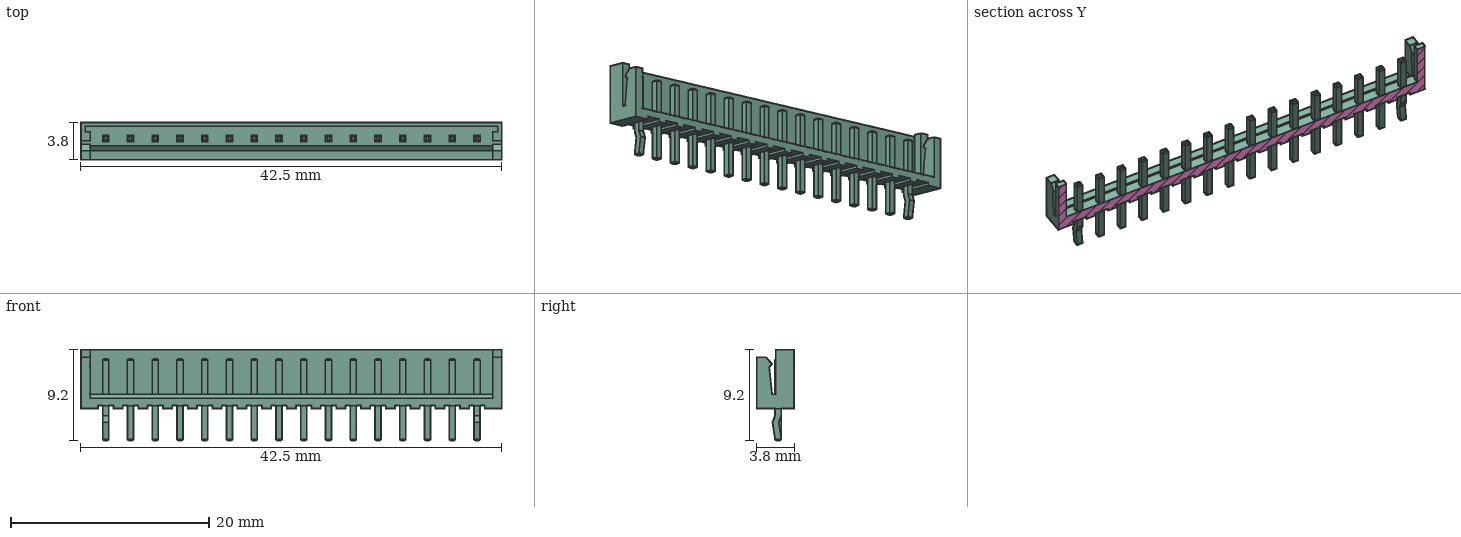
import cadquery as cq

length = 42.5
depth = 3.8
height = 5.95
end_wall = 0.95
back_wall = 0.4
grooved_wall = 0.42
floor_height = 1.45

ledge_height = 1.0
ledge_depth = 0.9
ramp_end = 1.45

groove_width = 0.55

column_depth = 1.85
arm_height = 5.2
arm_top_depth = 0.95
hook_depth = 1.57
hook_height = 4.5
hook_underside = 4.2
arm_neck_depth = 1.28
arm_root_depth = 1.57

pin_count = 16
pitch = length / (pin_count + 1)
pin_width = 0.65
pin_y = 2.15
pin_top = 5.0
pin_bottom = -3.25
tip_height = 0.13
tip_inset = 0.15
pin_positions = [(i - (pin_count - 1) / 2) * pitch for i in range(pin_count)]

kink_start = -0.72
kink_peak = -1.4
kink_offset = 0.25

notch_width = 1.55
notch_height = 0.3


def box(size_x, y_start, y_end, z_start, z_end, center_x=0.0):
    """Box centred on center_x and spanning the given Y and Z ranges."""
    return (
        cq.Workplane("XY")
        .box(size_x, y_end - y_start, z_end - z_start, centered=(True, False, False))
        .translate((center_x, y_start, z_start))
    )


def side_prism(points, size_x, center_x=0.0):
    """Prism with a (y, z) outline, extruded along X and centred on center_x."""
    prism = cq.Workplane("YZ").polyline(points).close().extrude(size_x / 2, both=True)
    return prism.translate((center_x, 0, 0))


def cavity():
    """Space between the end walls, open to the top and the front."""
    outline = [
        (0, ledge_height),
        (ledge_depth, ledge_height),
        (ramp_end, floor_height),
        (depth - back_wall, floor_height),
        (depth - back_wall, height),
        (0, height),
    ]
    return side_prism(outline, length - 2 * end_wall)


def grooves():
    """Widening of the cavity along the back wall, cutting a groove into both end walls."""
    back = depth - back_wall
    return box(length - 2 * grooved_wall, back - groove_width, back, floor_height, height)


def end_wall_slots():
    """Space between column and arm, and above the arm, through both end walls."""
    column_front = depth - column_depth
    outline = [
        (column_front, height),
        (column_front, floor_height),
        (arm_root_depth, floor_height),
        (arm_neck_depth, hook_underside),
        (hook_depth, hook_height),
        (arm_top_depth, arm_height),
        (0, arm_height),
        (0, height),
    ]
    return side_prism(outline, length)


def housing():
    body = box(length, 0, depth, 0, height)
    body = body.cut(cavity()).cut(grooves()).cut(end_wall_slots())
    for x in pin_positions:
        body = body.cut(box(notch_width, 0, depth, 0, notch_height, x))
    return body


def pin_tip(x, z_base, direction):
    """Tapered pin end that starts at z_base and points up (1) or down (-1)."""
    tip_width = pin_width - 2 * tip_inset
    return (
        cq.Workplane("XY")
        .rect(pin_width, pin_width)
        .workplane(offset=direction * tip_height)
        .rect(tip_width, tip_width)
        .loft()
        .translate((x, pin_y, z_base))
    )


def pin(x, kinked):
    shaft_top = pin_top - tip_height
    shaft_bottom = pin_bottom + tip_height
    front = pin_y - pin_width / 2
    back = pin_y + pin_width / 2
    offset = kink_offset if kinked else 0.0
    outline = [
        (front, shaft_top),
        (front, kink_start),
        (front - offset, kink_peak),
        (front, shaft_bottom),
        (back, shaft_bottom),
        (back - offset, kink_peak),
        (back, kink_start),
        (back, shaft_top),
    ]
    shaft = side_prism(outline, pin_width, x)
    return shaft.union(pin_tip(x, shaft_top, 1)).union(pin_tip(x, shaft_bottom, -1))


result = housing()
for index, x in enumerate(pin_positions):
    is_end_pin = index in (0, pin_count - 1)
    result = result.union(pin(x, is_end_pin))
result = result.clean()